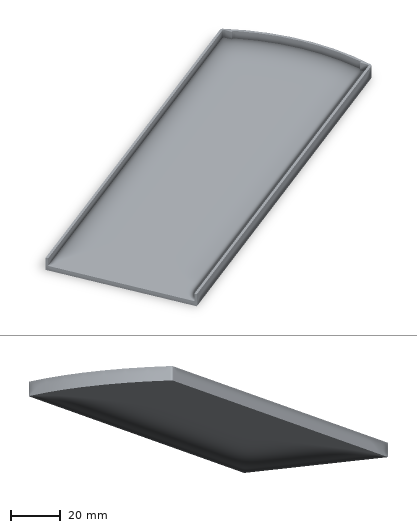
import cadquery as cq
import math

length = 185.0
width = 66.5
height = 6.0
floor_thickness = 2.2
wall = 1.1

bow_radius = 98.0
outer_corner_radius = 1.1

flat_depth = 6.1
inner_radius = 0.7
step_x = 27.4

half_width = width / 2
front_y = -length / 2
crown_y = length / 2
bow_center_y = crown_y - bow_radius


def bow_y(x, radius):
    """Y of a bow of the given radius, concentric with the outer one."""
    return bow_center_y + math.sqrt(radius**2 - x**2)


def make_body():
    """Solid plate with a bowed back end and rounded back corners."""
    shoulder_y = bow_y(half_width, bow_radius)
    return (
        cq.Workplane("XY")
        .moveTo(-half_width, front_y)
        .lineTo(half_width, front_y)
        .lineTo(half_width, shoulder_y)
        .threePointArc((0, crown_y), (-half_width, shoulder_y))
        .close()
        .extrude(height)
        .edges("|Z")
        .edges(">Y")
        .fillet(outer_corner_radius)
    )


def make_cavity():
    """Space above the floor, running out through the front end."""
    inner_x = half_width - wall
    flat_y = crown_y - flat_depth
    step_y = bow_y(step_x, bow_radius - wall)
    step_end_x = step_x + inner_radius
    corner_x = inner_x - inner_radius
    corner_y = flat_y - inner_radius
    return (
        cq.Workplane("XY", origin=(0, 0, floor_thickness))
        .moveTo(-inner_x, front_y)
        .lineTo(inner_x, front_y)
        .lineTo(inner_x, corner_y)
        .radiusArc((corner_x, flat_y), -inner_radius)
        .lineTo(step_end_x, flat_y)
        .radiusArc((step_x, step_y), -inner_radius)
        .threePointArc((0, crown_y - wall), (-step_x, step_y))
        .radiusArc((-step_end_x, flat_y), -inner_radius)
        .lineTo(-corner_x, flat_y)
        .radiusArc((-inner_x, corner_y), -inner_radius)
        .close()
        .extrude(height - floor_thickness)
    )


result = make_body().cut(make_cavity())